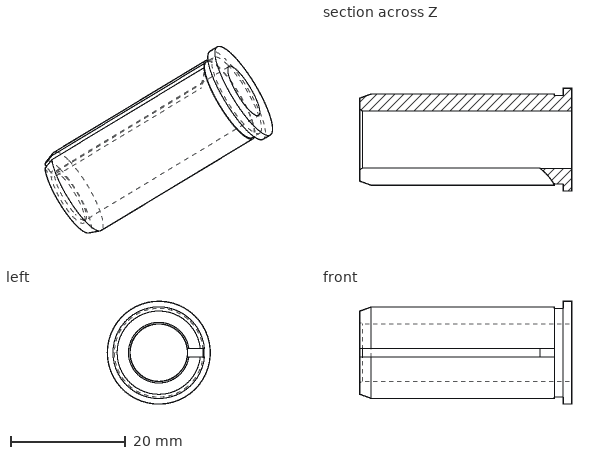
import cadquery as cq
import math

length = 37.0
body_radius = 8.0
bore_radius = 5.0

flange_radius = 9.0
flange_width = 1.5
groove_radius = 7.75
groove_width = 1.5
flange_start = length - flange_width
groove_start = flange_start - groove_width

taper_length = 2.0
taper_angle = math.radians(20)
tip_radius = body_radius - taper_length * math.tan(taper_angle)
countersink_depth = 0.5
countersink_angle = math.radians(30)
countersink_radius = bore_radius + countersink_depth * math.tan(countersink_angle)

slot_width = 1.5
runout_start = 31.45
runout_end_radius = 7.88
runout_curve_radius = 10.0


def make_sleeve():
    """Revolve the wall section about the X axis."""
    section = (
        cq.Workplane("XY")
        .moveTo(0, countersink_radius)
        .lineTo(0, tip_radius)
        .lineTo(taper_length, body_radius)
        .lineTo(groove_start, body_radius)
        .lineTo(groove_start, groove_radius)
        .lineTo(flange_start, groove_radius)
        .lineTo(flange_start, flange_radius)
        .lineTo(length, flange_radius)
        .lineTo(length, bore_radius)
        .lineTo(countersink_depth, bore_radius)
        .close()
    )
    return section.revolve(360, (0, 0, 0), (1, 0, 0))


def make_slot():
    """Side profile of the slot, extruded evenly about the Z = 0 plane."""
    profile = (
        cq.Workplane("XY")
        .moveTo(0, 0)
        .lineTo(runout_start, 0)
        .lineTo(runout_start, -bore_radius)
        .radiusArc((groove_start, -runout_end_radius), runout_curve_radius)
        .lineTo(groove_start, -body_radius)
        .lineTo(0, -body_radius)
        .close()
    )
    return profile.extrude(slot_width / 2, both=True)


result = make_sleeve().cut(make_slot())